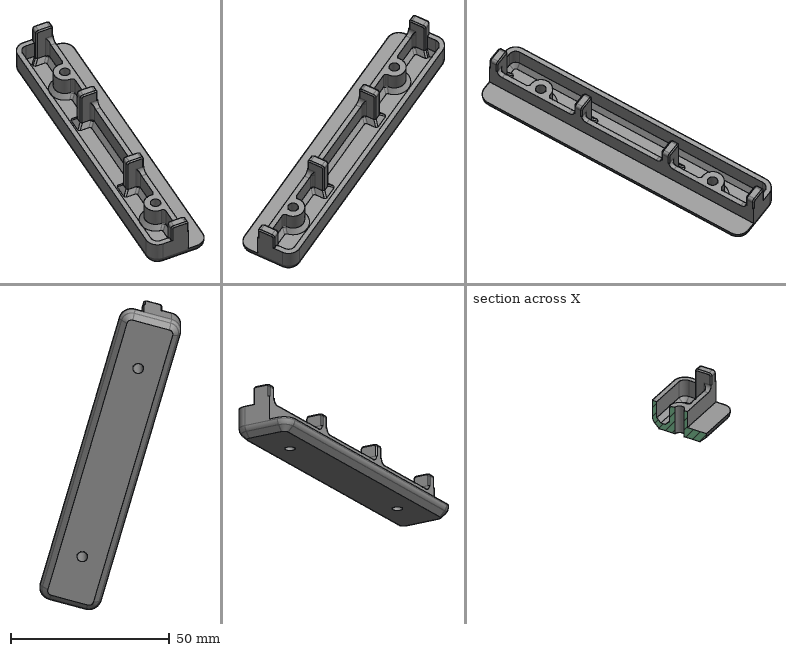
import cadquery as cq

length = 100.0
width = 20.0
height = 16.0
tray_height = 10.0
plate_height = 4.0
corner_radius = 4.0
bottom_chamfer = 2.5
bottom_blend = 2.5

wall = 1.7
back_face_y = 3.0
floor_height = 2.5
floor_chamfer = 1.5
flare_angle = 45
pocket_corner_radius = 1.0

tab_width = 3.0
tab_front_y = -3.0
inner_tab_x = 16.5
tab_top_radius = 1.0
tab_chamfer = 0.45
tab_root_radius = 1.8

boss_x = 32.5
boss_y = 0.0
boss_radius = 3.7
hole_diameter = 3.3

pick = 0.1

front_face_y = -width / 2
back_wall_y = back_face_y - wall
tab_depth = back_face_y - tab_front_y
tab_center_y = (back_face_y + tab_front_y) / 2
outer_tab_x = (length - tab_width) / 2
tab_centers = [-outer_tab_x, -inner_tab_x, inner_tab_x, outer_tab_x]
boss_centers = [-boss_x, boss_x]


def box(x_size, y_min, y_max, z_min, z_max, x_center=0.0):
    """Box centred on x_center and spanning the given y and z limits."""
    block = cq.Workplane("XY").box(x_size, y_max - y_min, z_max - z_min, centered=(True, False, False))
    return block.translate((x_center, y_min, z_min))


def edges_near(solid, x_span, y_span, z_span):
    """Edges of the solid whose centres lie within the given coordinate spans."""
    low, high = zip(x_span, y_span, z_span)
    return solid.edges(cq.selectors.BoxSelector(low, high))


def make_body():
    """Rounded block with a blended bottom chamfer, stepped down to a plate at the back."""
    body = cq.Workplane("XY").box(length, width, tray_height, centered=(True, True, False))
    body = body.edges("|Z").fillet(corner_radius)
    body = body.faces("<Z").edges().chamfer(bottom_chamfer)
    bevel_span = (bottom_chamfer - pick, bottom_chamfer + pick)
    body = edges_near(body, (-length, length), (-width, width), bevel_span).fillet(bottom_blend)
    return body.cut(box(length, back_face_y, width / 2, plate_height, tray_height))


def make_tab_stem(x):
    """Lower part of a tab, flared where it meets the floor, with bevelled front corners."""
    stem = box(tab_width, tab_front_y, back_face_y, floor_height, tray_height, x)
    foot = cq.Workplane("XY").rect(tab_width + 2 * floor_chamfer, tab_depth + 2 * floor_chamfer)
    foot = foot.extrude(floor_chamfer, taper=flare_angle).translate((x, tab_center_y, floor_height))
    stem = stem.union(foot)
    corners = edges_near(stem, (-length, length), (-width, tab_front_y + pick), (floor_height, tray_height))
    return corners.edges("not (|X or |Y)").chamfer(tab_chamfer)


def make_boss_stem(x):
    """Screw boss with a cone flaring out to the floor."""
    boss = cq.Workplane("XY").circle(boss_radius).extrude(tray_height - floor_height)
    foot = cq.Workplane("XY").circle(boss_radius + floor_chamfer).extrude(floor_chamfer, taper=flare_angle)
    return boss.union(foot).translate((x, boss_y, floor_height))


def make_pocket():
    """Volume removed from the tray, leaving the tabs and bosses standing in it."""
    pocket = box(length - 2 * wall, front_face_y + wall, back_wall_y, floor_height, tray_height)
    pocket = pocket.edges("|Z and <Y").fillet(corner_radius - wall)
    pocket = pocket.faces("<Z").edges().chamfer(floor_chamfer)
    for x in tab_centers:
        pocket = pocket.cut(make_tab_stem(x))
    for x in boss_centers:
        pocket = pocket.cut(make_boss_stem(x))
    mitre_front_y = back_wall_y - floor_chamfer
    corners = edges_near(
        pocket, (-length, length), (mitre_front_y + pick, width), (floor_height, tray_height - pick)
    ).edges("not |X")
    return corners.fillet(pocket_corner_radius)


def make_tab_root(x):
    """Flare joining a tab to the top of the back wall, following the rounded pocket corners below."""
    root_width = tab_width + 2 * tab_root_radius
    root_front_y = back_wall_y - pocket_corner_radius
    root_top = tray_height + tab_root_radius
    root = box(root_width, root_front_y, back_face_y, plate_height, root_top, x)
    for side, inner_edge in ((-1, ">X"), (1, "<X")):
        flare_x = x + side * root_width / 2
        flare = cq.Workplane("XZ").center(flare_x, root_top).circle(tab_root_radius).extrude(-width)
        root = root.cut(flare.translate((0, -width / 2, 0)))
        corner = box(2 * tab_root_radius, tab_front_y, back_wall_y, 0, height, flare_x)
        root = root.cut(corner.edges("|Z and >Y").edges(inner_edge).fillet(pocket_corner_radius))
    return root


def make_tab(x):
    """Upright tab with a rounded top, bevelled side edges and a flared root."""
    tab = box(tab_width, tab_front_y, back_face_y, plate_height, height, x)
    tab = tab.edges("|X and >Z").fillet(tab_top_radius)
    tab = tab.faces("<X or >X").edges("not <Z").chamfer(tab_chamfer)
    return tab.union(make_tab_root(x))


def make_holes():
    """Screw holes through the bosses and the floor."""
    centers = [(x, boss_y) for x in boss_centers]
    return cq.Workplane("XY").pushPoints(centers).circle(hole_diameter / 2).extrude(tray_height)


envelope = box(length, -width / 2, width / 2, 0, height)
result = make_body().cut(make_pocket())
for x in tab_centers:
    result = result.union(make_tab(x).intersect(envelope))
result = result.cut(make_holes())